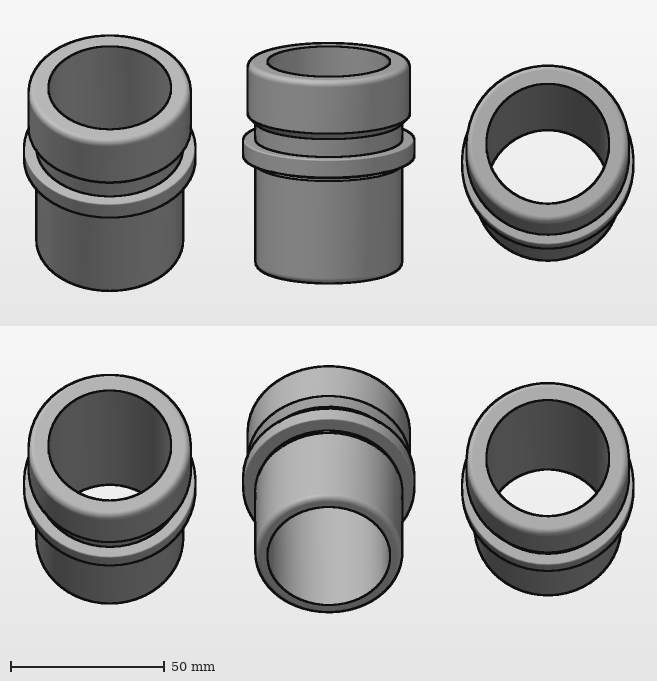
import cadquery as cq

height = 69.0
bore_radius = 20.0

body_radius = 24.0
body_top = 34.9
rim_round = 2.0

undercut_radius = 23.3
undercut_bottom = body_top + body_radius - undercut_radius

flange_radius = 55.95 / 2
flange_bottom = 37.0
flange_top = 43.0
flange_round = 0.5

neck_radius = body_radius
neck_top = 49.0
head_radius = 26.5
head_bottom = neck_top + head_radius - neck_radius


def ring(radius, bottom, top):
    """Solid cylinder about Z between two heights."""
    return cq.Workplane("XY").workplane(offset=bottom).circle(radius).extrude(top - bottom)


def cone(bottom_radius, top_radius, bottom, top):
    """Solid truncated cone about Z between two heights."""
    return (
        cq.Workplane("XY")
        .workplane(offset=bottom)
        .circle(bottom_radius)
        .workplane(offset=top - bottom)
        .circle(top_radius)
        .loft()
    )


def make_body():
    return ring(body_radius, 0, body_top).faces("<Z").edges().fillet(rim_round)


def make_undercut():
    """Narrow waist standing on a chamfer that tapers in from the body."""
    taper = cone(body_radius, undercut_radius, body_top, undercut_bottom)
    return taper.union(ring(undercut_radius, undercut_bottom, flange_bottom))


def make_flange():
    return ring(flange_radius, flange_bottom, flange_top).edges().fillet(flange_round)


def make_head():
    flare = cone(neck_radius, head_radius, neck_top, head_bottom)
    drum = ring(head_radius, head_bottom, height).faces(">Z").edges().fillet(rim_round)
    return flare.union(drum)


outside = (
    make_body()
    .union(make_undercut())
    .union(make_flange())
    .union(ring(neck_radius, flange_top, neck_top))
    .union(make_head())
)
result = outside.cut(ring(bore_radius, 0, height))